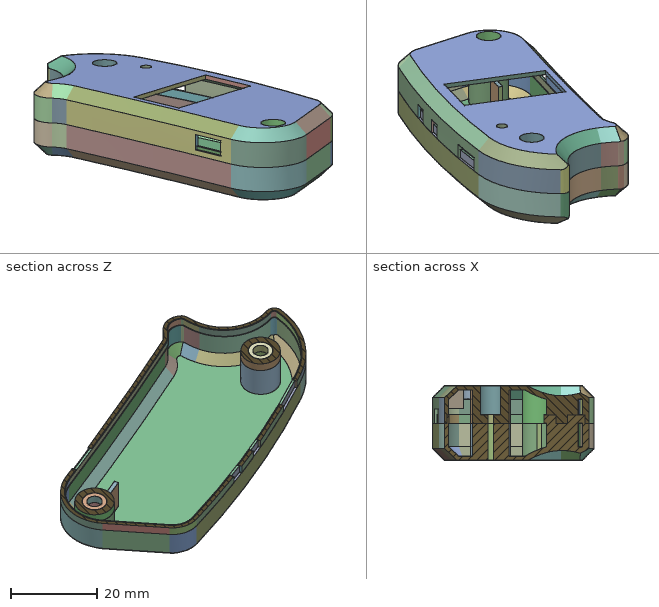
import cadquery as cq
import math

upper_height = 8.8
lower_height = 8.6
total_height = upper_height + lower_height
edge_chamfer = 2.8

wall = 1.0
cavity_chamfer = edge_chamfer - wall * (2 - math.sqrt(2))

lip_outer_inset = 0.6
lip_inner_inset = 1.2
lip_height = 2.0
lip_top = lower_height + lip_height

grip_centre = (0.7, 7.7)
flank_centre = (-3.3, 7.7)
lobe_centre = (16.0, 4.55)
neck_centre = (22.45, -4.0)
belly_centre = (52.4, -905.3)
tail_centre = (73.4, 13.25)
corner_centre = (71.7, 29.4)
back_centre = (45.3, -200.1)
nose_centre = (20.2, 14.8)

grip_radius = -11.7
flank_radius = grip_radius - math.dist(grip_centre, flank_centre)
tail_radius = 10.9
belly_radius = tail_radius - math.dist(tail_centre, belly_centre)
neck_radius = belly_radius + math.dist(belly_centre, neck_centre)
lobe_radius = neck_radius + math.dist(neck_centre, lobe_centre)
back_radius = 237.75
corner_radius = back_radius - math.dist(back_centre, corner_centre)
nose_radius = back_radius - math.dist(back_centre, nose_centre)
tip_fillet = 2.0

grip = (grip_centre, grip_radius)
flank = (flank_centre, flank_radius)
lobe = (lobe_centre, lobe_radius)
neck = (neck_centre, neck_radius)
belly = (belly_centre, belly_radius)
tail = (tail_centre, tail_radius)
corner = (corner_centre, corner_radius)
back = (back_centre, back_radius)
nose = (nose_centre, nose_radius)

screw_centres = [(14.6, 24.05), (77.6, 12.1)]
screw_diameter = 3.55
head_diameter = 5.65
head_seat = lip_top
boss_diameter = 9.3

web_x = (67.5, 75.1)
web_y = (12.2, 13.25)

block_min_x = 65.05
block_min_y = 30.4
block_bottom = 12.1

window_x = (38.9, 52.9)
window_y = (6.9, 32.0)
led_centre = (23.9, 28.1)
led_diameter = 2.5
led_guide_diameter = led_diameter + 2 * wall
led_guide_depth = 3.0

usb_x = (61.85, 69.9)
usb_z = (9.9, 13.6)
button_spans = [(20.25, 28.9), (42.2, 45.9), (51.9, 55.7)]
button_top = 12.0

past_x = (-4.2, 88.6)
past_y = (-4.2, 42.2)
front_wall_y = (past_y[0], 5.1)
back_wall_y = (32.1, past_y[1])


def arc_point(arc, normal, inset):
    """Point of an arc, moved inwards by inset, where the outline faces along normal."""
    (x, y), radius = arc
    return (x + (radius - inset) * normal[0], y + (radius - inset) * normal[1])


def joint_normal(first, second):
    """Outward direction where two tangent arcs meet."""
    (x1, y1), radius1 = first
    (x2, y2), radius2 = second
    return ((x1 - x2) / (radius2 - radius1), (y1 - y2) / (radius2 - radius1))


def straight_normal(first, second):
    """Outward direction of the straight side from one bulging arc to the next."""
    (x1, y1), radius1 = first
    (x2, y2), radius2 = second
    lean = math.asin((radius1 - radius2) / math.dist((x1, y1), (x2, y2)))
    angle = math.atan2(y2 - y1, x2 - x1) - math.pi / 2 + lean
    return (math.cos(angle), math.sin(angle))


def tip_normals(first, second, inset):
    """Outward directions of both arcs at the sharp tip on the left of the line joining their centres."""
    (x1, y1), radius1 = first
    (x2, y2), radius2 = second
    span = math.dist((x1, y1), (x2, y2))
    along = (span**2 + (radius1 - inset) ** 2 - (radius2 - inset) ** 2) / (2 * span)
    across = math.sqrt((radius1 - inset) ** 2 - along**2)
    ux, uy = (x2 - x1) / span, (y2 - y1) / span
    x, y = x1 + along * ux - across * uy, y1 + along * uy + across * ux
    return [((x - cx) / (r - inset), (y - cy) / (r - inset)) for (cx, cy), r in (first, second)]


def outline(inset):
    """Closed profile of the case moved inwards by inset, with both tips left sharp."""
    grip_tip, nose_tip = tip_normals(grip, nose, inset)
    lobe_tip, flank_tip = tip_normals(lobe, flank, inset)
    side = straight_normal(tail, corner)
    stretches = [
        (grip, grip_tip, joint_normal(grip, flank)),
        (flank, joint_normal(grip, flank), flank_tip),
        (lobe, lobe_tip, joint_normal(lobe, neck)),
        (neck, joint_normal(lobe, neck), joint_normal(neck, belly)),
        (belly, joint_normal(neck, belly), joint_normal(belly, tail)),
        (tail, joint_normal(belly, tail), side),
        (corner, side, joint_normal(corner, back)),
        (back, joint_normal(corner, back), joint_normal(back, nose)),
        (nose, joint_normal(back, nose), nose_tip),
    ]
    profile = cq.Workplane("XY").moveTo(*arc_point(grip, grip_tip, inset))
    for arc, start, end in stretches:
        if arc is corner:
            profile = profile.lineTo(*arc_point(corner, side, inset))
        length = math.hypot(start[0] + end[0], start[1] + end[1])
        middle = ((start[0] + end[0]) / length, (start[1] + end[1]) / length)
        profile = profile.threePointArc(arc_point(arc, middle, inset), arc_point(arc, end, inset))
    return profile.close()


def prism(inset, bottom, top):
    """Upright prism of the inset outline, with its two tips rounded."""
    block = outline(inset).extrude(top - bottom)
    for first, second in ((grip, nose), (lobe, flank)):
        x, y = arc_point(first, tip_normals(first, second, inset)[0], inset)
        tip_edge = cq.selectors.NearestToPointSelector((x, y, (top - bottom) / 2))
        block = block.edges("|Z").edges(tip_edge).fillet(tip_fillet - inset)
    return block.translate((0, 0, bottom))


def bevelled_form(inset, chamfer):
    """Form of the case moved inwards by inset all round, bevelled at top and bottom."""
    bottom, top = inset, total_height - inset
    rim = outline(inset).val()
    face = outline(inset + chamfer).val()
    form = outline(inset).extrude(top - bottom - 2 * chamfer).translate((0, 0, bottom + chamfer))
    for face_z, rim_z in ((bottom, bottom + chamfer), (top, top - chamfer)):
        wires = [rim.translate(cq.Vector(0, 0, rim_z)), face.translate(cq.Vector(0, 0, face_z))]
        form = form.union(cq.Workplane(cq.Solid.makeLoft(wires, True)))
    return form.intersect(prism(inset, bottom, top))


def box(x_span, y_span, z_span):
    """Block between two limits on each axis."""
    size = [high - low for low, high in (x_span, y_span, z_span)]
    corner_point = (x_span[0], y_span[0], z_span[0])
    return cq.Workplane("XY").box(*size, centered=False).translate(corner_point)


def cylinders(centres, diameter, bottom, top):
    """Upright cylinders on the given centres."""
    base = cq.Workplane("XY").workplane(offset=bottom)
    return base.pushPoints(centres).circle(diameter / 2).extrude(top - bottom)


def lip_ring():
    """Ring that the lip fills, all round the case just above the parting plane."""
    return prism(lip_outer_inset, lower_height, lip_top).cut(prism(lip_inner_inset, lower_height, lip_top))


def make_lower_body(envelope, cavity, bosses):
    """Lower half with its screw bosses, web and lip."""
    web = box(web_x, web_y, (0, lower_height))
    walls = envelope.cut(cavity.cut(bosses).cut(web))
    body = walls.intersect(box(past_x, past_y, (0, lower_height)))
    body = body.union(lip_ring())
    return body.cut(cylinders(screw_centres, screw_diameter, 0, lower_height))


def make_upper_body(envelope, cavity, bosses):
    """Upper half with its recess for the lip and all its openings."""
    block = box((block_min_x, past_x[1]), (block_min_y, past_y[1]), (block_bottom, total_height))
    guide = cylinders([led_centre], led_guide_diameter, total_height - led_guide_depth, total_height)
    walls = envelope.cut(cavity.cut(bosses).cut(block).cut(guide))
    body = walls.intersect(box(past_x, past_y, (lower_height, total_height)))

    body = body.cut(lip_ring())

    body = body.cut(cylinders(screw_centres, screw_diameter, lower_height, total_height))
    body = body.cut(cylinders(screw_centres, head_diameter, head_seat, total_height))

    body = body.cut(box(window_x, window_y, (total_height - wall, total_height)))
    body = body.cut(cylinders([led_centre], led_diameter, total_height - led_guide_depth, total_height))

    body = body.cut(box(usb_x, front_wall_y, usb_z))
    for span in button_spans:
        body = body.cut(box(span, back_wall_y, (lower_height, button_top)))
    return body


case_envelope = bevelled_form(0, edge_chamfer)
case_cavity = bevelled_form(wall, cavity_chamfer)
screw_bosses = cylinders(screw_centres, boss_diameter, 0, total_height)

lower_body = make_lower_body(case_envelope, case_cavity, screw_bosses)
upper_body = make_upper_body(case_envelope, case_cavity, screw_bosses)

result = cq.Compound.makeCompound([*lower_body.solids().vals(), *upper_body.solids().vals()])